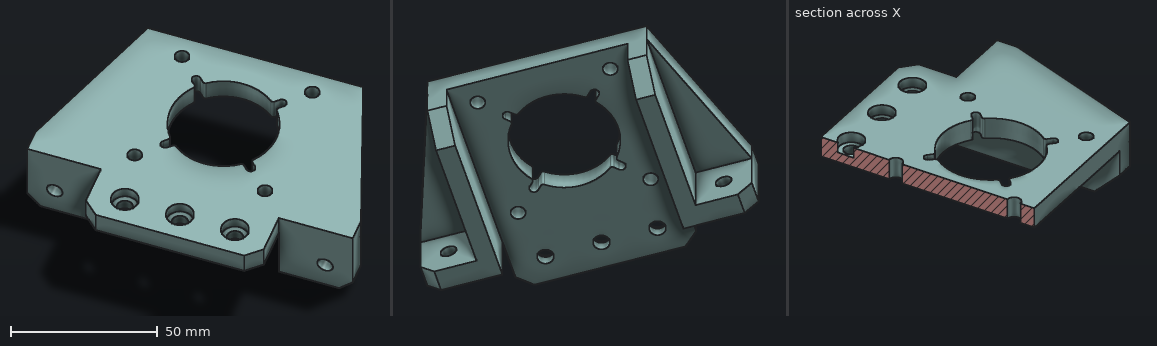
import cadquery as cq
import math

overall_width = 118.0
overall_height = 28.0
overall_depth = 85.2
thickness = 8.0
back_width = 78.0
back_y = 31.7
tongue_length = 20.0
tongue_width = 64.4
tongue_chamfer_x = 5.3
tongue_chamfer_y = 5.0

flange_chamfer = 5.0
rib_chamfer = 10.0
flange_hole_diameter = 5.7
flange_hole_spacing = 97.9
flange_hole_height = 10.1

bore_diameter = 38.2
relief_width = 3.2
relief_reach = 22.0
relief_mouth_fillet = 1.0
motor_hole_diameter = 5.1
motor_hole_spacing = 47.2

tongue_hole_diameter = 5.7
counterbore_diameter = 9.5
counterbore_depth = 4.0
tongue_hole_pitch = 20.0

tongue_y = back_y - overall_depth
front_y = tongue_y + tongue_length
flange_back_y = front_y + thickness
bottom_z = -overall_height
half_width = overall_width / 2
half_back = back_width / 2
half_tongue = tongue_width / 2


def make_plate():
    """Tapered plate with the chamfered tongue at the front."""
    half_tip = half_tongue - tongue_chamfer_x
    right_side = [
        (half_tip, tongue_y),
        (half_tongue, tongue_y + tongue_chamfer_y),
        (half_tongue, front_y),
        (half_width, front_y),
        (half_width, flange_back_y),
        (half_back, back_y),
    ]
    left_side = [(-x, y) for x, y in reversed(right_side)]
    outline = cq.Workplane("XY").polyline(right_side + left_side).close()
    return outline.extrude(-thickness)


def make_right_flange():
    """Mounting flange at the front, with its lower outer corner cut off."""
    profile = [
        (half_tongue, 0),
        (half_width, 0),
        (half_width, bottom_z + flange_chamfer),
        (half_width - flange_chamfer, bottom_z),
        (half_tongue, bottom_z),
    ]
    flange = (
        cq.Workplane("XZ", origin=(0, front_y, 0))
        .polyline(profile)
        .close()
        .extrude(-thickness)
    )
    hole = (
        cq.Workplane("XZ", origin=(0, front_y, 0))
        .center(flange_hole_spacing / 2, bottom_z + flange_hole_height)
        .circle(flange_hole_diameter / 2)
        .extrude(-thickness)
    )
    return flange.cut(hole)


def make_right_rib():
    """Rib running from the flange to the back edge, with its lower back corner cut off."""
    profile = [
        (front_y, 0),
        (back_y, 0),
        (back_y, bottom_z + rib_chamfer),
        (back_y - rib_chamfer, bottom_z),
        (front_y, bottom_z),
    ]
    return (
        cq.Workplane("YZ", origin=(half_tongue, 0, 0))
        .polyline(profile)
        .close()
        .extrude(half_back - half_tongue)
    )


def make_motor_opening():
    """Round bore with four diagonal round-ended reliefs, rounded where they meet the bore."""
    opening = cq.Workplane("XY").circle(bore_diameter / 2).extrude(-thickness)
    for angle in (45, 135):
        relief = (
            cq.Workplane("XY")
            .slot2D(2 * relief_reach + relief_width, relief_width, angle)
            .extrude(-thickness)
        )
        opening = opening.union(relief)

    half_relief_angle = math.degrees(math.asin(relief_width / bore_diameter))
    corner_radius = bore_diameter / 2
    for diagonal in (45, 135, 225, 315):
        for side in (-1, 1):
            angle = math.radians(diagonal + side * half_relief_angle)
            corner = (corner_radius * math.cos(angle), corner_radius * math.sin(angle), -thickness / 2)
            opening = opening.edges(cq.NearestToPointSelector(corner)).fillet(relief_mouth_fillet)
    return opening


plate = make_plate()
right_support = make_right_flange().union(make_right_rib())
left_support = right_support.mirror("YZ")
bracket = plate.union(right_support).union(left_support).cut(make_motor_opening())

bracket = (
    bracket.faces(">Z")
    .workplane(origin=(0, 0, 0))
    .rect(motor_hole_spacing, motor_hole_spacing, forConstruction=True)
    .vertices()
    .hole(motor_hole_diameter, thickness)
)

result = (
    bracket.faces(">Z")
    .workplane(origin=(0, tongue_y + tongue_length / 2, 0))
    .rarray(tongue_hole_pitch, 1.2, 3, 1)
    .cboreHole(tongue_hole_diameter, counterbore_diameter, counterbore_depth)
)